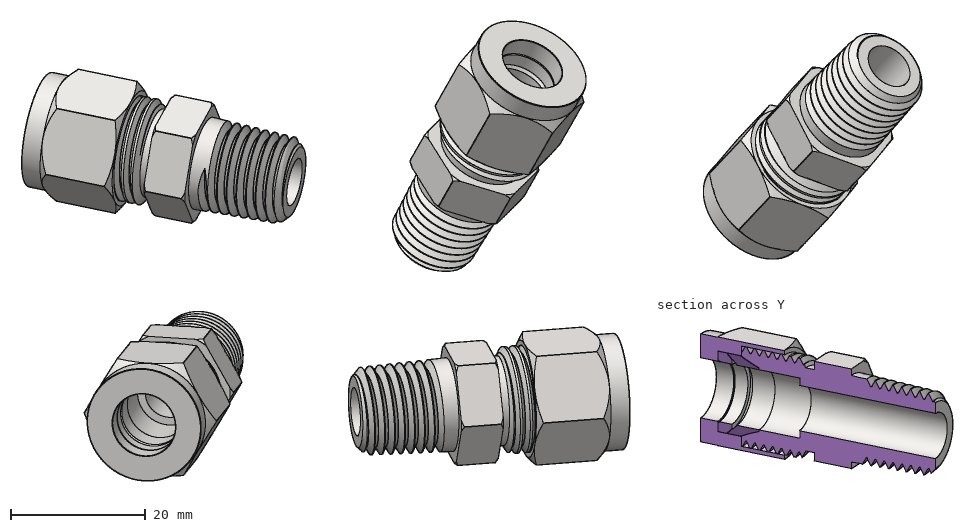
import cadquery as cq
import math


total_length = 39.87

tube_bore_dia = 9.56
flow_bore_dia = 7.18

nut_flats = 17.4625
nut_corner_dia = 20.12
nut_length = 14.25
nut_collar_length = 2.94
nut_collar_dia = 17.4
nut_collar_edge = 0.1
nut_mouth_chamfer = 0.08
nut_wall = 3.0
nut_front_chamfer_angle = 45
nut_rear_chamfer_angle = 30

ferrule_dia = 12.8
back_ferrule_length = 2.4
back_ferrule_edge = 0.25
back_ferrule_nose_dia = 11.2
front_ferrule_rim = 1.6
front_ferrule_nose = 3.0
front_ferrule_seat_angle = 45
front_ferrule_nose_dia = 10.2

nut_thread_dia = 16.0
nut_thread_end = 17.9
nut_thread_chamfer_angle = 30
neck_dia = 13.4
tube_stop_x = 16.8
hex_flats = 16.0
hex_corner_dia = 18.43
hex_start = 19.27
hex_width = 6.37
hex_chamfer_length = 0.36
hex_chamfer_depth = 0.45
pipe_dia = 13.98
pipe_taper = 1 / 32
pipe_tip_dia = 10.7

thread_pitch = 1.5
thread_half_angle = 30
root_flat = 0.06
groove_overshoot = 0.08
nut_thread_depth = 0.92
nut_thread_root_x = 16.35
pipe_thread_depth = 1.12
pipe_thread_root_x = 27.8

tube_bore_r = tube_bore_dia / 2
flow_bore_r = flow_bore_dia / 2
ferrule_r = ferrule_dia / 2
back_ferrule_nose_r = back_ferrule_nose_dia / 2
front_ferrule_nose_r = front_ferrule_nose_dia / 2
nut_thread_r = nut_thread_dia / 2
neck_r = neck_dia / 2
pipe_r = pipe_dia / 2
pipe_tip_r = pipe_tip_dia / 2

back_ferrule_end = nut_wall + back_ferrule_length
body_start = back_ferrule_end + front_ferrule_rim
ferrule_tip_x = body_start + front_ferrule_nose
hex_end = hex_start + hex_width


def revolve_about_x(points):
    """Turn an outline of (x, radius) points about the X axis."""
    return cq.Workplane("XY").polyline(points).close().revolve(360, (0, 0, 0), (1, 0, 0))


def bar_along_x(start, end, radius):
    return cq.Workplane("YZ", origin=(start, 0, 0)).circle(radius).extrude(end - start)


def hexagon_along_x(start, end, flats):
    """Hexagonal bar with corners on +Y and -Y and flats on +Z and -Z."""
    across_corners = flats / math.cos(math.radians(30))
    return cq.Workplane("YZ", origin=(start, 0, 0)).polygon(6, across_corners).extrude(end - start)


def vee_outline(plane, radius, depth):
    """Groove section on a plane whose first axis is radial and second is axial."""
    outer_r = radius + groove_overshoot
    root_r = radius - depth
    outer_half = root_flat / 2 + (outer_r - root_r) * math.tan(math.radians(thread_half_angle))
    return plane.polyline(
        [
            (root_r, -root_flat / 2),
            (outer_r, -outer_half),
            (outer_r, outer_half),
            (root_r, root_flat / 2),
        ]
    ).close()


def thread_groove(start_x, length, radius, depth, taper=0.0):
    """Helical vee cutter whose root crosses the -Y side at start_x."""
    cone_angle = -math.degrees(math.atan(taper)) if taper else 360
    helix = cq.Wire.makeHelix(thread_pitch, length, radius, angle=cone_angle)
    cutter = vee_outline(cq.Workplane("XZ"), radius, depth).sweep(cq.Workplane(helix), isFrenet=True)
    along_x = cutter.rotate((0, 0, 0), (0, 1, 0), 90)
    return along_x.rotate((0, 0, 0), (1, 0, 0), -90).translate((start_x, 0, 0))


def groove_run_out(start_x, radius, depth):
    """Straight vee cutter leaving the -Y side along the tangent, toward +Z."""
    side = cq.Workplane(cq.Plane(origin=(start_x, 0, 0), xDir=(0, -1, 0), normal=(0, 0, 1)))
    return vee_outline(side, radius, depth).extrude(radius)


def make_nut():
    collar_r = nut_collar_dia / 2
    corner_r = nut_corner_dia / 2
    flat_r = nut_flats / 2
    front_cone = (corner_r - collar_r) * math.tan(math.radians(nut_front_chamfer_angle))
    rear_cone = (corner_r - flat_r) * math.tan(math.radians(nut_rear_chamfer_angle))
    envelope = revolve_about_x(
        [
            (nut_collar_length, 0),
            (nut_collar_length, collar_r),
            (nut_collar_length + front_cone, corner_r),
            (nut_length - rear_cone, corner_r),
            (nut_length, flat_r),
            (nut_length, 0),
        ]
    )
    collar = bar_along_x(0, nut_collar_length, collar_r).faces("<X").chamfer(nut_collar_edge)
    nut = hexagon_along_x(nut_collar_length, nut_length, nut_flats).intersect(envelope).union(collar)
    inside = revolve_about_x(
        [
            (0, 0),
            (0, tube_bore_r + nut_mouth_chamfer),
            (nut_mouth_chamfer, tube_bore_r),
            (nut_wall, tube_bore_r),
            (nut_wall, ferrule_r),
            (body_start, ferrule_r),
            (body_start, nut_thread_r),
            (nut_length, nut_thread_r),
            (nut_length, 0),
        ]
    )
    return nut.cut(inside)


def seat_cone_length(start_r, end_r):
    """Axial length of the cone between the two ferrules from one radius to another."""
    return (start_r - end_r) / math.tan(math.radians(front_ferrule_seat_angle))


def make_back_ferrule():
    nose_cone = seat_cone_length(ferrule_r, back_ferrule_nose_r)
    return revolve_about_x(
        [
            (nut_wall, tube_bore_r + back_ferrule_edge),
            (nut_wall, ferrule_r),
            (back_ferrule_end - nose_cone, ferrule_r),
            (back_ferrule_end, back_ferrule_nose_r),
            (back_ferrule_end, tube_bore_r),
            (nut_wall + back_ferrule_edge, tube_bore_r),
        ]
    )


def make_front_ferrule():
    rear_x = back_ferrule_end - seat_cone_length(ferrule_r, back_ferrule_nose_r)
    seat_end = back_ferrule_end + seat_cone_length(back_ferrule_nose_r, tube_bore_r)
    return revolve_about_x(
        [
            (rear_x, ferrule_r),
            (body_start, ferrule_r),
            (ferrule_tip_x, front_ferrule_nose_r),
            (ferrule_tip_x, tube_bore_r),
            (seat_end, tube_bore_r),
        ]
    )


def make_threaded_neck():
    turns_back = math.ceil((nut_thread_root_x - body_start) / thread_pitch)
    groove_start = nut_thread_root_x - turns_back * thread_pitch
    groove_length = nut_thread_end + thread_pitch / 2 - groove_start
    groove = thread_groove(groove_start, groove_length, nut_thread_r, nut_thread_depth)
    threaded_bar = bar_along_x(body_start, hex_start, nut_thread_r).cut(groove)

    chamfer = (nut_thread_r - neck_r) * math.tan(math.radians(nut_thread_chamfer_angle))
    envelope = revolve_about_x(
        [
            (body_start, 0),
            (body_start, nut_thread_r),
            (nut_thread_end - chamfer, nut_thread_r),
            (nut_thread_end, neck_r),
            (hex_start, neck_r),
            (hex_start, 0),
        ]
    )
    return threaded_bar.intersect(envelope)


def make_hexagon():
    corner_r = hex_corner_dia / 2
    face_r = corner_r - hex_chamfer_depth
    envelope = revolve_about_x(
        [
            (hex_start, 0),
            (hex_start, face_r),
            (hex_start + hex_chamfer_length, corner_r),
            (hex_end - hex_chamfer_length, corner_r),
            (hex_end, face_r),
            (hex_end, 0),
        ]
    )
    return hexagon_along_x(hex_start, hex_end, hex_flats).intersect(envelope)


def make_pipe_end():
    blank_end = total_length + 2 * thread_pitch
    blank = revolve_about_x(
        [
            (hex_end, 0),
            (hex_end, pipe_r),
            (blank_end, pipe_r - pipe_taper * (blank_end - hex_end)),
            (blank_end, 0),
        ]
    )
    groove_length = total_length + thread_pitch - pipe_thread_root_x
    groove_r = pipe_r - pipe_taper * (pipe_thread_root_x - hex_end)
    groove = thread_groove(pipe_thread_root_x, groove_length, groove_r, pipe_thread_depth, pipe_taper)
    run_out = groove_run_out(pipe_thread_root_x, groove_r, pipe_thread_depth)

    tip_cone = pipe_r - pipe_tip_r
    tip_trim = revolve_about_x(
        [
            (total_length, 0),
            (total_length, pipe_tip_r),
            (total_length - tip_cone, pipe_r),
            (blank_end, pipe_r),
            (blank_end, 0),
        ]
    )
    return blank.cut(groove).cut(run_out).cut(tip_trim)


def make_body():
    ferrule_seat = revolve_about_x(
        [
            (body_start, 0),
            (body_start, ferrule_r),
            (ferrule_tip_x, front_ferrule_nose_r),
            (ferrule_tip_x, 0),
        ]
    )
    tube_socket = bar_along_x(body_start, tube_stop_x, tube_bore_r)
    flow_bore = bar_along_x(body_start, total_length, flow_bore_r)
    solid = make_threaded_neck().union(make_hexagon()).union(make_pipe_end())
    return solid.cut(ferrule_seat).cut(tube_socket).cut(flow_bore)


nut = make_nut()
back_ferrule = make_back_ferrule()
front_ferrule = make_front_ferrule()
body = make_body()

result = cq.Compound.makeCompound(
    [
        nut.solids().val(),
        back_ferrule.solids().val(),
        front_ferrule.solids().val(),
        body.solids().val(),
    ]
)